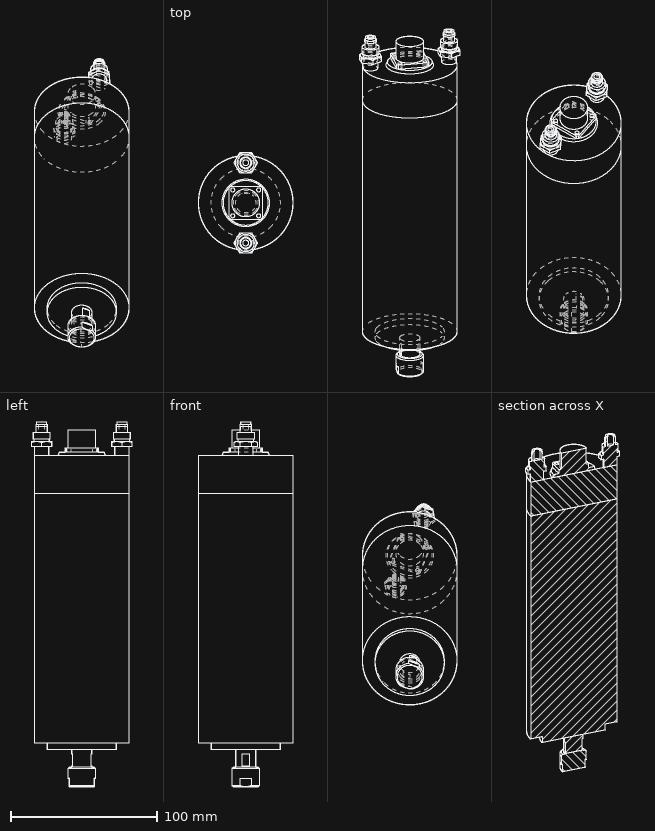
import cadquery as cq
import math

nut_height = 13.5
flange_bottom = 25.5
housing_bottom = 30.0
seam_height = 201.0
cap_top = 227.0
overall_height = 250.0

housing_diameter = 65.0
flange_diameter = 47.5

shaft_diameter = 14.0
shaft_across_flats = 13.0
shaft_flat_bottom = 14.2
shaft_flat_top = 22.5

nut_diameter = 19.0
nut_chamfer = 1.0
nut_across_flats = 17.2
nut_flat_height = 5.8

disc_diameter = 32.5
disc_top_diameter = 30.8
disc_height = 2.2
plate_side = 22.8
plate_thickness = 3.0
screw_hole_diameter = 2.8
screw_hole_spacing = 17.8
barrel_diameter = 19.0
connector_height = 17.5

fitting_spacing = 55.0
fitting_height = overall_height - cap_top
fitting_base_diameter = 10.0
hex_across_flats = 14.0
hex_bottom = 6.0
hex_top = 9.5
hex_chamfer_angle = 30
neck_diameter = 10.5
collar_diameter = 11.8
collar_bottom = 11.2
collar_top = 15.8
stem_diameter = 7.8
ring_diameter = 8.0
ring_bottom = 19.8
ring_top = 21.2
tip_diameter = 7.0
bore_diameter = 4.0
bore_depth = fitting_height - collar_top


def cylinder(diameter, bottom, top):
    """Upright cylinder on the Z axis between two heights."""
    return cq.Workplane("XY").workplane(offset=bottom).circle(diameter / 2).extrude(top - bottom)


def flats_slab(across_flats, width, bottom, top):
    """Block centred on the Z axis whose +Y and -Y faces are a pair of flats."""
    slab = cq.Workplane("XY").workplane(offset=bottom)
    return slab.rect(width, across_flats).extrude(top - bottom)


def cut_flats(body, diameter, across_flats, bottom, top):
    """Mill two flats, facing +Y and -Y, on a round body between two heights."""
    band = cylinder(2 * diameter, bottom, top)
    return body.cut(band.cut(flats_slab(across_flats, 4 * diameter, bottom, top)))


def make_housing():
    flange = cylinder(flange_diameter, flange_bottom, housing_bottom)
    return cylinder(housing_diameter, housing_bottom, seam_height).union(flange)


def make_cap():
    return cylinder(housing_diameter, seam_height, cap_top)


def make_shaft():
    shaft = cylinder(shaft_diameter, nut_height, flange_bottom)
    return cut_flats(shaft, shaft_diameter, shaft_across_flats, shaft_flat_bottom, shaft_flat_top)


def make_nut():
    nut = cylinder(nut_diameter, 0, nut_height).edges().chamfer(nut_chamfer)
    return cut_flats(nut, nut_diameter, nut_across_flats, 0, nut_flat_height)


def make_connector():
    disc_top = cap_top + disc_height
    plate_top = disc_top + plate_thickness
    disc = (
        cq.Workplane("XY")
        .workplane(offset=cap_top)
        .circle(disc_diameter / 2)
        .workplane(offset=disc_height)
        .circle(disc_top_diameter / 2)
        .loft(ruled=True)
    )
    plate = (
        cq.Workplane("XY")
        .workplane(offset=disc_top)
        .rect(plate_side, plate_side)
        .extrude(plate_thickness)
        .intersect(cylinder(disc_top_diameter, disc_top, plate_top))
    )
    screw_holes = (
        cq.Workplane("XY")
        .workplane(offset=disc_top)
        .rect(screw_hole_spacing, screw_hole_spacing, forConstruction=True)
        .vertices()
        .circle(screw_hole_diameter / 2)
        .extrude(plate_thickness)
    )
    barrel = cylinder(barrel_diameter, plate_top, cap_top + connector_height)
    return disc.union(plate.cut(screw_holes)).union(barrel)


def make_hexagon():
    """Hexagon with flats facing +Y and -Y and its top corners chamfered."""
    across_corners = hex_across_flats / math.cos(math.pi / 6)
    height = hex_top - hex_bottom
    corner_overhang = (across_corners - hex_across_flats) / 2
    corner_drop = corner_overhang * math.tan(math.radians(hex_chamfer_angle))
    hexagon = cq.Workplane("XY").workplane(offset=hex_bottom).polygon(6, across_corners).extrude(height)
    chamfered_blank = (
        cylinder(across_corners, hex_bottom, hex_top)
        .faces(">Z")
        .chamfer(corner_drop, corner_overhang)
    )
    return hexagon.intersect(chamfered_blank)


def make_fitting(y):
    """Coolant fitting standing on the cap, with its axis at the given Y."""
    fitting = cylinder(fitting_base_diameter, 0, hex_bottom).union(make_hexagon())
    steps = [
        (neck_diameter, hex_top, collar_bottom),
        (collar_diameter, collar_bottom, collar_top),
        (stem_diameter, collar_top, ring_bottom),
        (ring_diameter, ring_bottom, ring_top),
        (tip_diameter, ring_top, fitting_height),
    ]
    for diameter, bottom, top in steps:
        fitting = fitting.union(cylinder(diameter, bottom, top))
    bore = cylinder(bore_diameter, fitting_height - bore_depth, fitting_height)
    return fitting.cut(bore).translate((0, y, cap_top))


housing = make_housing()
cap = make_cap()
shaft = make_shaft()
nut = make_nut()
connector = make_connector()
fittings = [make_fitting(side * fitting_spacing / 2) for side in (-1, 1)]

result = cq.Compound.makeCompound(
    [
        housing.val(),
        cap.val(),
        shaft.val(),
        nut.val(),
        connector.val(),
        *[fitting.val() for fitting in fittings],
    ]
)